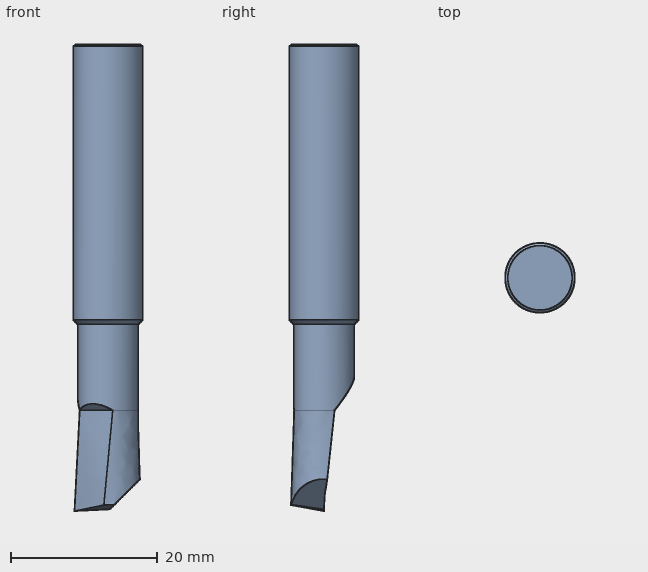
import cadquery as cq
import math

total_length = 63.5
shank_radius = 4.75
shank_bottom = 26.05
shoulder_height = 0.65
top_chamfer_width = 0.4
top_chamfer_height = 0.25

neck_radius = 4.1
neck_bottom = 13.7
rake_ramp_rise = 4.8
relief_ramp_rise = 0.9

tip_radius = 4.6
root_rake_angle = 200.6
root_relief_angle = 279.0
tip_rake_angle = 180.0
tip_relief_angle = 262.0

end_slope_x = 0.05
end_slope_y = 0.14
corner_height = 4.6

cutter_size = 25.4


def polar(radius, angle):
    """Point at a radius and an angle in degrees."""
    return (radius * math.cos(math.radians(angle)), radius * math.sin(math.radians(angle)))


def blade_section(radius, rake_angle, relief_angle, height):
    """Half disc behind the rake face, with the relief flat cut off it."""
    opposite_angle = rake_angle + 180
    return (
        cq.Workplane("XY", origin=(0, 0, height))
        .moveTo(*polar(radius, rake_angle))
        .lineTo(*polar(radius, relief_angle))
        .threePointArc(polar(radius, (relief_angle + opposite_angle) / 2), polar(radius, opposite_angle))
        .close()
        .wires()
        .val()
    )


def neck_ramp(normal_angle, flat_distance, rise):
    """Wedge removed where a neck flat runs out upward to the neck surface."""
    run = neck_radius - flat_distance
    ramp_plane = cq.Plane(
        origin=(0, 0, neck_bottom),
        xDir=(*polar(1, normal_angle), 0),
        normal=(*polar(1, normal_angle - 90), 0),
    )
    return (
        cq.Workplane(ramp_plane)
        .moveTo(flat_distance, 0)
        .lineTo(flat_distance + 2 * run, 0)
        .lineTo(flat_distance + 2 * run, 2 * rise)
        .close()
        .extrude(cutter_size / 2, both=True)
    )


body = (
    cq.Workplane("XZ")
    .moveTo(0, neck_bottom)
    .lineTo(neck_radius, neck_bottom)
    .lineTo(neck_radius, shank_bottom - shoulder_height)
    .lineTo(shank_radius, shank_bottom)
    .lineTo(shank_radius, total_length - top_chamfer_height)
    .lineTo(shank_radius - top_chamfer_width, total_length)
    .lineTo(0, total_length)
    .close()
    .revolve(360, (0, 0, 0), (0, 1, 0))
)

relief_half_angle = (root_relief_angle - root_rake_angle) / 2
relief_flat_distance = neck_radius * math.cos(math.radians(relief_half_angle))
body = body.cut(neck_ramp(root_rake_angle - 90, 0, rake_ramp_rise))
body = body.cut(neck_ramp(root_rake_angle + relief_half_angle, relief_flat_distance, relief_ramp_rise))

blade = cq.Workplane(
    cq.Solid.makeLoft(
        [
            blade_section(tip_radius, tip_rake_angle, tip_relief_angle, 0),
            blade_section(neck_radius, root_rake_angle, root_relief_angle, neck_bottom),
        ],
        True,
    )
)

end_plane = cq.Plane(
    origin=(-tip_radius, 0, 0),
    xDir=(1, 0, end_slope_x),
    normal=(-end_slope_x, end_slope_y, 1),
)
blade = blade.cut(cq.Workplane(end_plane).rect(cutter_size, cutter_size).extrude(-cutter_size / 2))

corner_cut = (
    cq.Workplane("XZ")
    .moveTo(tip_radius - corner_height, 0)
    .lineTo(tip_radius + corner_height, 0)
    .lineTo(tip_radius + corner_height, 2 * corner_height)
    .close()
    .extrude(cutter_size / 2, both=True)
)
blade = blade.cut(corner_cut)

result = body.union(blade)